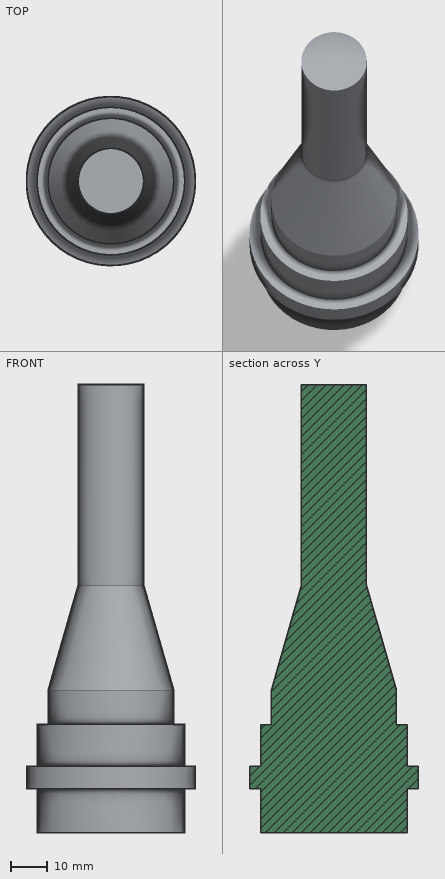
import cadquery as cq

total_height = 123.2

body_diameter = 40.5
flange_diameter = 46.5
collar_diameter = 34.5
stem_diameter = 18.0

flange_bottom = 12.1
flange_top = 18.4
body_top = 29.8
collar_top = 39.2
stem_bottom = 68.0


def cylinder(diameter, bottom, top):
    """Solid cylinder on the Z axis between two heights."""
    return cq.Workplane("XY").workplane(offset=bottom).circle(diameter / 2).extrude(top - bottom)


def cone(bottom_diameter, top_diameter, bottom, top):
    """Solid cone frustum on the Z axis between two heights."""
    return cq.Workplane("XY").add(
        cq.Solid.makeCone(
            bottom_diameter / 2,
            top_diameter / 2,
            top - bottom,
            pnt=cq.Vector(0, 0, bottom),
        )
    )


body = cylinder(body_diameter, 0, body_top)
flange = cylinder(flange_diameter, flange_bottom, flange_top)

collar = cylinder(collar_diameter, body_top, collar_top)
taper = cone(collar_diameter, stem_diameter, collar_top, stem_bottom)
stem = cylinder(stem_diameter, stem_bottom, total_height)

result = body.union(flange).union(collar).union(taper).union(stem)